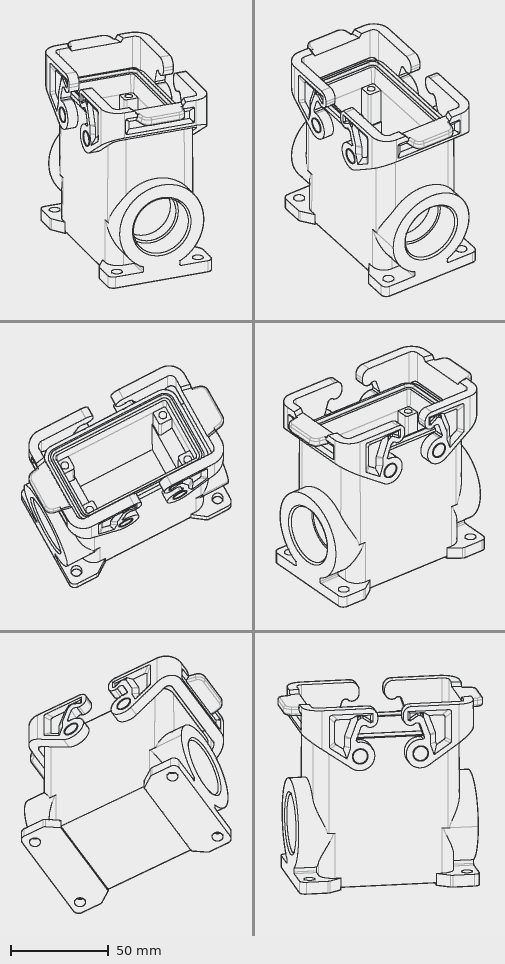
import cadquery as cq
import math


BODY_BOTTOM_Z = 1.3
BODY_TOP_Z = 79.7
BODY_BOTTOM_HALF_Y = 23.6
BODY_TOP_HALF_Y = 23.2
BODY_BOTTOM_HALF_X = 35.1
BODY_UPPER_HALF_X = 38.2
BODY_CORNER_RADIUS = 7.2

PORT_END_X = 46.8
PORT_AXIS_Z = 30.1
PORT_RADIUS = 23.4
PORT_BORE_RADIUS = 15.2
PORT_BORE_DEPTH = 14.3
PORT_BORE_CHAMFER = 1.0
KNOCKOUT_RADIUS = 13.9
KNOCKOUT_DEPTH = 21.5
PORT_NECK_HALF_Y = 10.0
PORT_NECK_FILLET = 0.7

FOOT_HEIGHT = 6.3
FOOT_HALF_Y = 28.7
FOOT_INNER_X = 24.8
FOOT_BEVEL_X = 31.9
FOOT_CORNER_RADIUS = 3.1
FOOT_BEVEL_RADIUS = 2.1
FOOT_HOLE_RADIUS = 2.8
FOOT_HOLE_X = 41.0
FOOT_HOLE_Y = 22.5

CAVITY_HALF_X = 31.7
CAVITY_BREAK_HALF_Y = 17.0
CAVITY_FLOOR_HALF_Y = 16.6
CAVITY_MOUTH_DRAFT = 2.7
CAVITY_CORNER_RADIUS = 1.0
CAVITY_BREAK_Z = 69.2
CAVITY_FLOOR_Z = 5.2
RAMP_TOP_Z = 52.8
RAMP_ANGLE = 25.0
RAMP_INNER_X = 24.0
POST_INNER_X = 24.1
POST_INNER_Y = 9.2
POST_DRAFT = 0.4
POST_CORNER_RADIUS = 1.2
POST_HOLE_RADIUS = 2.0
POST_HOLE_DEPTH = 12.4
POST_HOLE_X = 28.5
POST_HOLE_Y = 13.5
BEAD_HALF_X = 36.0
BEAD_HALF_Y = 21.2
BEAD_WIDTH = 2.4
BEAD_HEIGHT = 1.6
BEAD_CORNER_RADIUS = 5.5
BEAD_SLOPE_WIDTH = 1.1
BEAD_FILLET = 1.1

CAGE_HALF_X = 44.7
CAGE_HALF_Y = 29.0
CAGE_TOP_Z = 96.9
CAGE_END_BOTTOM_Z = 82.7
CAGE_CORNER_RADIUS = 9.1
CAGE_INNER_HALF_X = 39.6
CAGE_INNER_HALF_Y = 23.4
CAGE_INNER_RADIUS = 3.1
PIVOT_X = 15.7
PIVOT_Z = 71.7
PIVOT_RADIUS = 7.6
PIN_RADIUS = 4.0
PIN_LENGTH = 8.3
PIN_GROOVE_WIDTH = 0.3
PIN_GROOVE_DEPTH = 0.3

HOOK_TIP_X = 6.6
HOOK_TOP_RADIUS = 4.3
HOOK_LIP_RADIUS = 4.0
HOOK_LIP_BOTTOM_Z = 86.8
THROAT_LIP = (-12.0, 87.1)
THROAT_PEAK = (-13.9, 88.1)
THROAT_BACK = (-15.5, 86.9)
THROAT_FOOT = (-17.8, 80.1)
THROAT_FOOT_BEVEL = 0.8

POCKET_TAPER = 60.0
ARM_POCKET_DEPTH = 1.8
ARM_POCKET_FILLET = 3.1
ARM_POCKET = [(-31.8, 94.3), (-15.9, 94.3), (-20.7, 81.5), (-20.7, 76.6), (-22.7, 70.8), (-31.8, 77.0)]
HOOK_POCKET_DEPTH = 0.6
HOOK_POCKET = [
    (-18.6, 94.3),
    (-9.2, 94.3),
    (-9.2, 89.7),
    (-10.4, 89.3),
    (-14.4, 92.0),
    (-15.5, 92.0),
    (-17.2, 90.7),
]

END_POCKET_HALF_Y = 19.1
END_POCKET_BOTTOM_Z = 84.4
END_POCKET_TOP_Z = 93.3
END_POCKET_DEPTH = 1.3
END_POCKET_CORNER_RADIUS = 1.0

TAB_END_X = 51.8
TAB_ROOT_HALF_Y = 13.7
TAB_END_HALF_Y = 11.2
TAB_BOTTOM_Z = 90.4
TAB_TOP_Z = 94.8
TAB_CORNER_RADIUS = 4.1
TAB_EDGE_FILLET = 1.0
NOTCH_FLARE = 35.0

MIRROR_SIGNS = (-1, 1)
SELECT_MARGIN = 0.1


def both_ends(solid):
    """The solid together with its mirror image in the YZ plane."""
    return solid.union(solid.mirror("YZ"))


def both_sides(solid):
    """The solid together with its mirror image in the XZ plane."""
    return solid.union(solid.mirror("XZ"))


def rounded_block(half_x, half_y, bottom_z, top_z, radius, taper=0.0):
    """Upright block, centred in plan, with rounded vertical corners and optional draft in degrees."""
    outline = cq.Sketch().rect(2 * half_x, 2 * half_y).vertices().fillet(radius)
    base = cq.Workplane("XY", origin=(0, 0, bottom_z)).placeSketch(outline)
    return base.extrude(top_z - bottom_z, taper=taper)


def box_between(x_range, y_range, z_range):
    sizes = [high - low for low, high in (x_range, y_range, z_range)]
    return cq.Workplane("XY", origin=(x_range[0], y_range[0], z_range[0])).box(*sizes, centered=False)


def make_body():
    draft = (BODY_BOTTOM_HALF_Y - BODY_TOP_HALF_Y) / (BODY_TOP_Z - BODY_BOTTOM_Z)
    axis_half_y = BODY_BOTTOM_HALF_Y - draft * (PORT_AXIS_Z - BODY_BOTTOM_Z)
    draft_angle = math.degrees(math.atan(draft))
    lower = rounded_block(
        BODY_BOTTOM_HALF_X, BODY_BOTTOM_HALF_Y, BODY_BOTTOM_Z, PORT_AXIS_Z, BODY_CORNER_RADIUS, draft_angle
    )
    upper = rounded_block(
        BODY_UPPER_HALF_X, axis_half_y, PORT_AXIS_Z, BODY_TOP_Z, BODY_CORNER_RADIUS, draft_angle
    )
    return lower.union(upper)


def make_port():
    """Port collar on the -X end, with the neck that joins it to the foot."""
    end_plane = cq.Workplane("YZ", origin=(-PORT_END_X, 0, 0))
    collar = end_plane.center(0, PORT_AXIS_Z).circle(PORT_RADIUS).extrude(PORT_END_X - RAMP_INNER_X)
    neck = box_between(
        (-PORT_END_X, -CAVITY_HALF_X),
        (-PORT_NECK_HALF_Y, PORT_NECK_HALF_Y),
        (FOOT_HEIGHT / 2, PORT_AXIS_Z - PORT_BORE_RADIUS),
    )
    return collar.union(neck)


def make_foot():
    """Mounting foot on the -X end, and the drills for its two screw holes."""
    outline = [
        (-PORT_END_X, -FOOT_HALF_Y),
        (-FOOT_BEVEL_X, -FOOT_HALF_Y),
        (-FOOT_INNER_X, -BODY_BOTTOM_HALF_Y),
        (-FOOT_INNER_X, BODY_BOTTOM_HALF_Y),
        (-FOOT_BEVEL_X, FOOT_HALF_Y),
        (-PORT_END_X, FOOT_HALF_Y),
    ]
    foot = cq.Workplane("XY").polyline(outline).close().extrude(FOOT_HEIGHT)
    foot = foot.edges("|Z and <X").fillet(FOOT_CORNER_RADIUS)
    for sign in MIRROR_SIGNS:
        bevel_edge = cq.selectors.NearestToPointSelector((-FOOT_BEVEL_X, sign * FOOT_HALF_Y, FOOT_HEIGHT / 2))
        foot = foot.edges(bevel_edge).fillet(FOOT_BEVEL_RADIUS)
    holes = [(-FOOT_HOLE_X, sign * FOOT_HOLE_Y) for sign in MIRROR_SIGNS]
    drills = cq.Workplane("XY").pushPoints(holes).circle(FOOT_HOLE_RADIUS).extrude(FOOT_HEIGHT)
    return foot, drills


def make_port_bore():
    """Stepped blind bore of the -X port: chamfered mouth, bore and smaller knock-out recess."""
    mouth_radius = PORT_BORE_RADIUS + PORT_BORE_CHAMFER
    profile = [
        (-PORT_END_X, 0),
        (-PORT_END_X, mouth_radius),
        (-PORT_END_X + PORT_BORE_CHAMFER, PORT_BORE_RADIUS),
        (-PORT_END_X + PORT_BORE_DEPTH, PORT_BORE_RADIUS),
        (-PORT_END_X + PORT_BORE_DEPTH, KNOCKOUT_RADIUS),
        (-PORT_END_X + KNOCKOUT_DEPTH, KNOCKOUT_RADIUS),
        (-PORT_END_X + KNOCKOUT_DEPTH, 0),
    ]
    half_section = cq.Workplane("XZ", origin=(0, 0, PORT_AXIS_Z)).polyline(profile).close()
    return half_section.revolve(360, (0, 0, 0), (1, 0, 0))


def make_post():
    """Drafted screw post in the -X -Y corner, running into the walls behind it, and its screw hole."""
    height = CAVITY_BREAK_Z - CAVITY_FLOOR_Z
    corner = (-BEAD_HALF_X, -BEAD_HALF_Y)
    post = (
        cq.Workplane("XY", origin=(0, 0, CAVITY_FLOOR_Z))
        .moveTo(*corner)
        .lineTo(-POST_INNER_X, corner[1])
        .lineTo(-POST_INNER_X, -POST_INNER_Y)
        .lineTo(corner[0], -POST_INNER_Y)
        .close()
        .extrude(height, taper=POST_DRAFT)
    )
    inner_edge = cq.selectors.NearestToPointSelector(
        (-POST_INNER_X, -POST_INNER_Y, CAVITY_FLOOR_Z + height / 2)
    )
    post = post.edges(inner_edge).fillet(POST_CORNER_RADIUS)
    hole = (
        cq.Workplane("XY", origin=(-POST_HOLE_X, -POST_HOLE_Y, CAVITY_BREAK_Z))
        .circle(POST_HOLE_RADIUS)
        .extrude(-POST_HOLE_DEPTH)
    )
    return post, hole


def make_cavity():
    """Open drafted cavity with end walls that ramp inwards lower down, and four corner posts."""
    upper = rounded_block(
        CAVITY_HALF_X,
        CAVITY_BREAK_HALF_Y,
        CAVITY_BREAK_Z,
        BODY_TOP_Z,
        CAVITY_CORNER_RADIUS,
        -CAVITY_MOUTH_DRAFT,
    )
    ramp_bottom_z = RAMP_TOP_Z - (CAVITY_HALF_X - RAMP_INNER_X) * math.tan(math.radians(RAMP_ANGLE))
    section = [
        (-RAMP_INNER_X, CAVITY_FLOOR_Z),
        (-RAMP_INNER_X, ramp_bottom_z),
        (-CAVITY_HALF_X, RAMP_TOP_Z),
        (-CAVITY_HALF_X, CAVITY_BREAK_Z),
        (CAVITY_HALF_X, CAVITY_BREAK_Z),
        (CAVITY_HALF_X, RAMP_TOP_Z),
        (RAMP_INNER_X, ramp_bottom_z),
        (RAMP_INNER_X, CAVITY_FLOOR_Z),
    ]
    long_section = cq.Workplane("XZ").polyline(section).close().extrude(CAVITY_BREAK_HALF_Y, both=True)
    cross_outline = [
        (-CAVITY_FLOOR_HALF_Y, CAVITY_FLOOR_Z),
        (CAVITY_FLOOR_HALF_Y, CAVITY_FLOOR_Z),
        (CAVITY_BREAK_HALF_Y, CAVITY_BREAK_Z),
        (-CAVITY_BREAK_HALF_Y, CAVITY_BREAK_Z),
    ]
    cross_section = cq.Workplane("YZ").polyline(cross_outline).close().extrude(CAVITY_HALF_X, both=True)
    post, post_hole = make_post()
    lower = long_section.intersect(cross_section).cut(both_sides(both_ends(post)))
    return upper.union(lower).union(both_sides(both_ends(post_hole)))


def make_bead():
    """Sealing bead around the cavity mouth: sloped outside, rounded inside."""
    top_z = BODY_TOP_Z + BEAD_HEIGHT
    slope_angle = math.degrees(math.atan(BEAD_SLOPE_WIDTH / BEAD_HEIGHT))
    outer = rounded_block(BEAD_HALF_X, BEAD_HALF_Y, BODY_TOP_Z, top_z, BEAD_CORNER_RADIUS, slope_angle)
    inner = rounded_block(
        BEAD_HALF_X - BEAD_WIDTH,
        BEAD_HALF_Y - BEAD_WIDTH,
        BODY_TOP_Z,
        top_z,
        BEAD_CORNER_RADIUS - BEAD_WIDTH,
    )
    bead = outer.cut(inner)
    return bead.faces(">Z").wires(cq.selectors.LengthNthSelector(0)).edges().fillet(BEAD_FILLET)


def make_arm_profile():
    """Side profile of the -X half of the cage, extruded across its full width."""
    reach_x = CAGE_HALF_X - PIVOT_X
    drop_z = CAGE_END_BOTTOM_Z - PIVOT_Z
    slope = math.atan2(drop_z, reach_x) + math.asin(PIVOT_RADIUS / math.hypot(reach_x, drop_z))
    tangent_point = (
        -PIVOT_X - PIVOT_RADIUS * math.sin(slope),
        PIVOT_Z - PIVOT_RADIUS * math.cos(slope),
    )
    top_arc_z = CAGE_TOP_Z - HOOK_TOP_RADIUS
    lip_centre = (-HOOK_TIP_X - HOOK_LIP_RADIUS, HOOK_LIP_BOTTOM_Z + HOOK_LIP_RADIUS)
    lip_run = HOOK_LIP_RADIUS * math.sqrt(0.5)
    profile = (
        cq.Workplane("XZ")
        .moveTo(-CAGE_HALF_X, CAGE_TOP_Z)
        .lineTo(-HOOK_TIP_X - HOOK_TOP_RADIUS, CAGE_TOP_Z)
        .radiusArc((-HOOK_TIP_X, top_arc_z), HOOK_TOP_RADIUS)
        .lineTo(-HOOK_TIP_X, lip_centre[1])
        .threePointArc(
            (lip_centre[0] + lip_run, lip_centre[1] - lip_run), (lip_centre[0], HOOK_LIP_BOTTOM_Z)
        )
        .lineTo(*THROAT_LIP)
        .threePointArc(THROAT_PEAK, THROAT_BACK)
        .lineTo(*THROAT_FOOT)
        .lineTo(THROAT_FOOT[0] + THROAT_FOOT_BEVEL, PIVOT_Z + PIVOT_RADIUS)
        .lineTo(-PIVOT_X, PIVOT_Z + PIVOT_RADIUS)
        .threePointArc((-PIVOT_X + PIVOT_RADIUS, PIVOT_Z), (-PIVOT_X, PIVOT_Z - PIVOT_RADIUS))
        .threePointArc(
            (
                -PIVOT_X - PIVOT_RADIUS * math.sin(slope / 2),
                PIVOT_Z - PIVOT_RADIUS * math.cos(slope / 2),
            ),
            tangent_point,
        )
        .lineTo(-CAGE_HALF_X, CAGE_END_BOTTOM_Z)
        .close()
    )
    return profile.extrude(CAGE_HALF_Y, both=True)


def make_arm_pockets():
    """Tapered pockets and pin groove in the front face of the -X arm."""
    face = cq.Workplane("XZ", origin=(0, -CAGE_HALF_Y, 0))
    arm = face.polyline(ARM_POCKET).close().extrude(-ARM_POCKET_DEPTH, taper=POCKET_TAPER)
    arm = arm.faces("<X").edges("not |Z").fillet(ARM_POCKET_FILLET)
    hook = face.polyline(HOOK_POCKET).close().extrude(-HOOK_POCKET_DEPTH, taper=POCKET_TAPER)
    groove = (
        face.center(-PIVOT_X, PIVOT_Z)
        .circle(PIN_RADIUS)
        .circle(PIN_RADIUS - PIN_GROOVE_WIDTH)
        .extrude(-PIN_GROOVE_DEPTH)
    )
    return arm.union(hook).union(groove)


def make_end_pocket():
    """Tapered pocket in the -X end of the cage."""
    height = END_POCKET_TOP_Z - END_POCKET_BOTTOM_Z
    outline = cq.Sketch().rect(2 * END_POCKET_HALF_Y, height).vertices().fillet(END_POCKET_CORNER_RADIUS)
    centre_z = (END_POCKET_TOP_Z + END_POCKET_BOTTOM_Z) / 2
    face = cq.Workplane("YZ", origin=(-CAGE_HALF_X, 0, centre_z))
    return face.placeSketch(outline).extrude(END_POCKET_DEPTH, taper=POCKET_TAPER)


def make_tab_outline(base_z):
    """Plan outline of the -X thumb tab, on the plane at base_z."""
    outline = [
        (-CAGE_INNER_HALF_X, -TAB_ROOT_HALF_Y),
        (-CAGE_INNER_HALF_X, TAB_ROOT_HALF_Y),
        (-TAB_END_X, TAB_END_HALF_Y),
        (-TAB_END_X, -TAB_END_HALF_Y),
    ]
    return cq.Workplane("XY", origin=(0, 0, base_z)).polyline(outline).close()


def make_end_notch():
    """Flared notch in the top of the -X end wall, following the flanks of the thumb tab."""
    return make_tab_outline(TAB_TOP_Z).extrude(CAGE_TOP_Z - TAB_TOP_Z, taper=-NOTCH_FLARE)


def make_tab():
    """Thumb tab on the -X end, reaching through the end wall."""
    tab = make_tab_outline(TAB_BOTTOM_Z).extrude(TAB_TOP_Z - TAB_BOTTOM_Z)
    tab = tab.edges("|Z and <X").fillet(TAB_CORNER_RADIUS)
    return tab.faces("<Z or >Z").edges("not >X").fillet(TAB_EDGE_FILLET)


def make_cage():
    plan = rounded_block(CAGE_HALF_X, CAGE_HALF_Y, 0, CAGE_TOP_Z, CAGE_CORNER_RADIUS)
    opening = rounded_block(CAGE_INNER_HALF_X, CAGE_INNER_HALF_Y, 0, CAGE_TOP_Z, CAGE_INNER_RADIUS)
    half = make_arm_profile().intersect(plan.cut(opening))
    half = half.cut(both_sides(make_arm_pockets())).cut(make_end_pocket()).cut(make_end_notch())
    return both_ends(half.union(make_tab()))


def make_pins():
    """Pivot pins that carry the cage arms on the body walls."""
    pin = (
        cq.Workplane("XZ", origin=(-PIVOT_X, -CAGE_HALF_Y, PIVOT_Z))
        .circle(PIN_RADIUS - PIN_GROOVE_WIDTH)
        .extrude(-PIN_LENGTH)
    )
    return both_sides(both_ends(pin))


def make_housing():
    """Body, ports and feet as one hollowed solid."""
    foot, foot_drills = make_foot()
    solid = make_body().union(both_ends(make_port())).union(both_ends(foot))
    neck_roots = cq.selectors.BoxSelector(
        (-PORT_END_X, -PORT_NECK_HALF_Y - SELECT_MARGIN, FOOT_HEIGHT - SELECT_MARGIN),
        (PORT_END_X, PORT_NECK_HALF_Y + SELECT_MARGIN, FOOT_HEIGHT + SELECT_MARGIN),
    )
    solid = solid.edges("|X").edges(neck_roots).fillet(PORT_NECK_FILLET)
    return solid.cut(make_cavity()).cut(both_ends(make_port_bore())).cut(both_ends(foot_drills))


result = make_housing().union(make_bead()).union(make_cage()).union(make_pins())